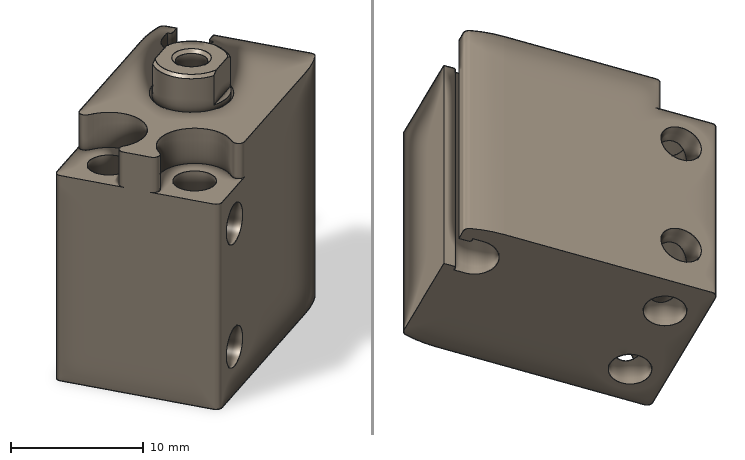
import cadquery as cq
import math

width = 13.5
height = 20.5
front_y = -11.0
back_y = 9.5
side_x = width / 2
edge_fillet = 0.5

taper_length = 3.0
taper_radius = 10.0

slot_x = -3.55
slot_mouth_width = 3.0
slot_width = 3.75
slot_lip = 1.0
slot_depth = 3.75
slot_lip_fillet = 0.2

hole_diameter = 3.3
hole_x = 3.5
hole_y = -8.0
cross_hole_heights = (4.0, 14.5)
recess_diameter = 5.8
recess_depth = 3.0
recess_angle = 45.0
recess_side_fillet = 0.5
recess_front_fillet = 0.53

rod_diameter = 6.0
rod_projection = 3.0
rod_insertion = 15.0
rod_chamfer = 0.25
bore_chamfer = 0.2
flats_width = 5.0
flats_start = 0.25
thread_diameter = 2.46
thread_depth = 5.0
thread_mouth_diameter = 3.0
drill_tip_angle = 118.0

rod_bottom = height - rod_insertion
rod_top = height + rod_projection


def make_block():
    """Extruded block with curved back corners and rounded vertical edges."""
    taper_y = back_y - taper_length
    taper_angle = math.asin(taper_length / taper_radius)

    def taper_inset(angle):
        return taper_radius * (1 - math.cos(angle))

    back_x = side_x - taper_inset(taper_angle)
    middle_x = side_x - taper_inset(taper_angle / 2)
    middle_y = taper_y + taper_radius * math.sin(taper_angle / 2)
    return (
        cq.Workplane("XY")
        .moveTo(-side_x, front_y)
        .lineTo(side_x, front_y)
        .lineTo(side_x, taper_y)
        .threePointArc((middle_x, middle_y), (back_x, back_y))
        .lineTo(-back_x, back_y)
        .threePointArc((-middle_x, middle_y), (-side_x, taper_y))
        .close()
        .extrude(height)
        .edges("|Z")
        .edges("<Y or >Y")
        .fillet(edge_fillet)
    )


def make_slot():
    """Full-height slot: a narrow mouth with rounded lips, then a wider round-bottomed channel."""
    mouth = slot_mouth_width / 2
    half = slot_width / 2
    lip_y = back_y - slot_lip
    bottom_y = back_y - slot_depth
    return (
        cq.Workplane("XY")
        .center(slot_x, 0)
        .moveTo(mouth, back_y)
        .lineTo(mouth, lip_y + slot_lip_fillet)
        .radiusArc((mouth + slot_lip_fillet, lip_y), -slot_lip_fillet)
        .lineTo(half, lip_y)
        .lineTo(half, bottom_y + half)
        .threePointArc((0, bottom_y), (-half, bottom_y + half))
        .lineTo(-half, lip_y)
        .lineTo(-mouth - slot_lip_fillet, lip_y)
        .radiusArc((-mouth, lip_y + slot_lip_fillet), -slot_lip_fillet)
        .lineTo(-mouth, back_y)
        .close()
        .extrude(height)
    )


def make_recess(side):
    """Round pocket running out at 45 degrees through the left (-1) or right (1) front corner."""
    center = (side * hole_x, hole_y)
    floor = cq.Workplane("XY", origin=(*center, height - recess_depth))
    channel_length = 2 * recess_diameter
    channel = (
        floor.transformed(rotate=(0, 0, -90 + recess_angle * side))
        .center(channel_length / 2, 0)
        .rect(channel_length, recess_diameter)
        .extrude(recess_depth)
    )
    return floor.circle(recess_diameter / 2).extrude(recess_depth).union(channel)


def round_recess_edges(body):
    """Round the sharp vertical edges where the recess walls meet the side and front faces."""
    wall_offset = recess_diameter / 2 / math.sin(math.radians(recess_angle))
    side_edge_y = hole_y + wall_offset - (side_x - hole_x)
    front_edge_x = hole_x - wall_offset + (hole_y - front_y)
    middle_z = height - recess_depth / 2
    for side in (-1, 1):
        side_edge = cq.selectors.NearestToPointSelector((side * side_x, side_edge_y, middle_z))
        body = body.edges(side_edge).fillet(recess_side_fillet)
        front_edge = cq.selectors.NearestToPointSelector((side * front_edge_x, front_y, middle_z))
        body = body.edges(front_edge).fillet(recess_front_fillet)
    return body


def make_housing():
    body = make_block()
    for side in (-1, 1):
        body = body.cut(make_recess(side))
    body = round_recess_edges(body)
    body = body.cut(make_slot())

    holes = (
        cq.Workplane("XY")
        .pushPoints([(-hole_x, hole_y), (hole_x, hole_y)])
        .circle(hole_diameter / 2)
        .extrude(height)
    )
    cross_holes = (
        cq.Workplane("YZ", origin=(-side_x, 0, 0))
        .pushPoints([(hole_y, z) for z in cross_hole_heights])
        .circle(hole_diameter / 2)
        .extrude(width)
    )
    bore = cq.Workplane("XY", origin=(0, 0, rod_bottom)).circle(rod_diameter / 2).extrude(rod_insertion)
    bore_mouth = cq.Workplane(
        cq.Solid.makeCone(
            rod_diameter / 2,
            rod_diameter / 2 + bore_chamfer,
            bore_chamfer,
            pnt=cq.Vector(0, 0, height - bore_chamfer),
        )
    )
    return body.cut(holes).cut(cross_holes).cut(bore).cut(bore_mouth)


def make_thread_hole():
    """Blind hole in the rod end with a countersunk mouth and a conical drill tip."""
    hole_radius = thread_diameter / 2
    mouth_radius = thread_mouth_diameter / 2
    mouth_depth = mouth_radius - hole_radius
    hole_bottom = rod_top - thread_depth
    tip_depth = hole_radius / math.tan(math.radians(drill_tip_angle / 2))
    return (
        cq.Workplane("XZ")
        .moveTo(0, rod_top)
        .lineTo(mouth_radius, rod_top)
        .lineTo(hole_radius, rod_top - mouth_depth)
        .lineTo(hole_radius, hole_bottom)
        .lineTo(0, hole_bottom - tip_depth)
        .close()
        .revolve(360, (0, 0, 0), (0, 1, 0))
    )


def make_rod():
    rod = (
        cq.Workplane("XY", origin=(0, 0, rod_bottom))
        .circle(rod_diameter / 2)
        .extrude(rod_insertion + rod_projection)
        .faces(">Z")
        .chamfer(rod_chamfer)
    )
    flats_height = rod_projection - flats_start
    for side in (-1, 1):
        flat = cq.Workplane("XY", origin=(side * (flats_width + rod_diameter) / 2, 0, height + flats_start))
        rod = rod.cut(flat.rect(rod_diameter, rod_diameter).extrude(flats_height))
    return rod.cut(make_thread_hole())


housing = make_housing()
rod = make_rod()

result = cq.Compound.makeCompound([housing.solids().val(), rod.solids().val()])